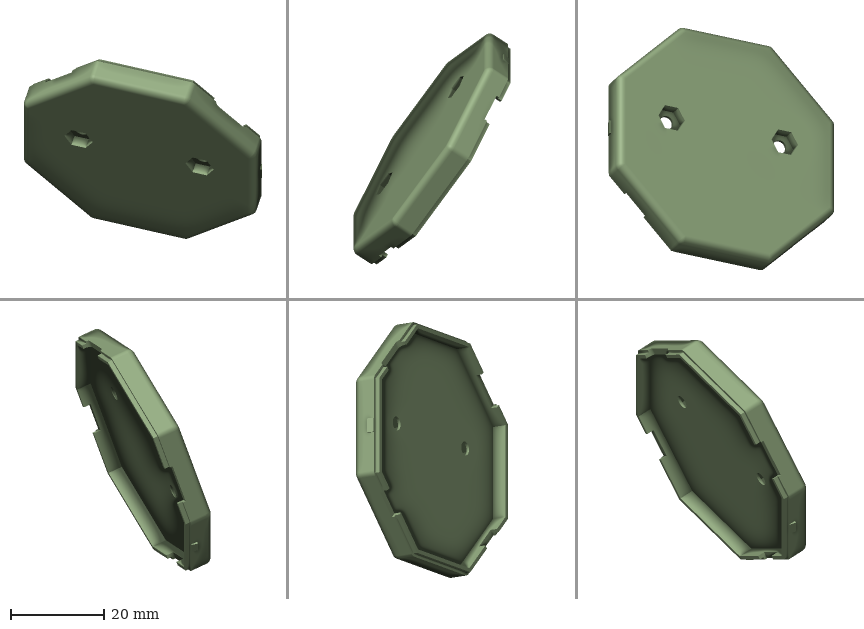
import cadquery as cq
import math

across_flats = 51.8
apothem = across_flats / 2
half_corner_angle = 180 / 8
edge_radius = 1.5
rim_y = 5.3
wall = 1.5
floor_thickness = 3.05

lip_inset = 0.65
lip_height = 1.0
mating_y = rim_y + lip_height
cavity_apothem = apothem - wall

clip_reach = 26.4
clip_width = 3.05
clip_height = 1.4
clip_top_step = 0.13

screw_spacing = 27.0
screw_center_x = 0.1
screw_z = 3.1
screw_diameter = 3.0
nut_across_flats = 5.45
nut_pocket_depth = 2.45

opening_depth = 1.65
square_openings = [
    (135, 8.5, 1.2),
    (225, 6.45, -2.05),
    (315, 6.35, 2.65),
]
slot_angle = 45
slot_width = 10.0
slot_offset = -1.2
slot_corner_radius = 1.3


def octagon(half_flats, y_start, y_end):
    """Octagonal prism along Y with flats facing X and Z."""
    across_corners = 2 * half_flats / math.cos(math.radians(half_corner_angle))
    return (
        cq.Workplane("XZ", origin=(0, y_start, 0))
        .transformed(rotate=(0, 0, half_corner_angle))
        .polygon(8, across_corners)
        .extrude(y_start - y_end)
    )


def diagonal_cutter(angle, width, offset, corner_radius=0):
    """Bar through one diagonal wall, centred on the mating plane so its lower half cuts."""
    inner_end = cavity_apothem - wall
    outer_end = apothem + wall
    length = outer_end - inner_end
    bar = cq.Workplane("XY").box(length, 2 * opening_depth, width)
    if corner_radius:
        bar = bar.edges("|X").fillet(corner_radius)
    return (
        bar.translate(((inner_end + outer_end) / 2, mating_y, offset))
        .rotate((0, 0, 0), (0, 1, 0), -angle)
    )


def snap_clip():
    """Wedge on the +X wall, widest at the end away from the rim."""
    return (
        cq.Workplane("XY", origin=(0, 0, -clip_width / 2))
        .moveTo(apothem - wall / 2, rim_y)
        .lineTo(apothem + clip_top_step, rim_y)
        .lineTo(clip_reach, rim_y - clip_height)
        .lineTo(apothem - wall / 2, rim_y - clip_height)
        .close()
        .extrude(clip_width)
    )


def screw_cutter(x):
    """Through hole and nut pocket."""
    plane = cq.Workplane("XZ", origin=(x, 0, screw_z))
    hole = plane.circle(screw_diameter / 2).extrude(-mating_y)
    nut_across_corners = nut_across_flats / math.cos(math.radians(180 / 6))
    pocket = plane.polygon(6, nut_across_corners).extrude(-nut_pocket_depth)
    return hole.union(pocket)


body = octagon(apothem, 0, rim_y)
body = body.edges("|Y").fillet(edge_radius)
body = body.faces("<Y").edges().fillet(edge_radius)
lip = octagon(apothem - lip_inset, floor_thickness, mating_y)
result = body.union(lip).cut(octagon(cavity_apothem, floor_thickness, mating_y))

for angle, width, offset in square_openings:
    result = result.cut(diagonal_cutter(angle, width, offset))
result = result.cut(diagonal_cutter(slot_angle, slot_width, slot_offset, slot_corner_radius))

clip = snap_clip()
result = result.union(clip).union(clip.mirror("YZ"))

for side in (-1, 1):
    result = result.cut(screw_cutter(screw_center_x + side * screw_spacing / 2))